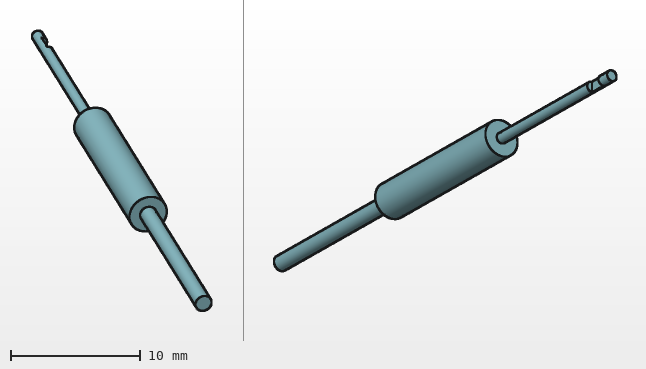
import cadquery as cq

total_length = 45.0
section_length = total_length / 3
pin_start = -total_length / 2
sleeve_start = pin_start + section_length
wire_start = sleeve_start + section_length

pin_diameter = 0.9
sleeve_diameter = 3.0
wire_diameter = 1.3

notch_offset = 1.15
notch_length = 1.55
notch_depth = 0.45


def make_rod(start, diameter):
    """Round rod along X, one section long, beginning at X = start."""
    return cq.Workplane("YZ", origin=(start, 0, 0)).circle(diameter / 2).extrude(section_length)


def make_notch_cutter():
    """Block reaching from the notch floor past the pin surface, through the full pin height."""
    floor_y = pin_diameter / 2 - notch_depth
    return (
        cq.Workplane("XY")
        .box(notch_length, pin_diameter, pin_diameter, centered=(False, False, True))
        .translate((pin_start + notch_offset, floor_y, 0))
    )


pin = make_rod(pin_start, pin_diameter).cut(make_notch_cutter())
sleeve = make_rod(sleeve_start, sleeve_diameter)
wire = make_rod(wire_start, wire_diameter)

result = cq.Compound.makeCompound([pin.val(), sleeve.val(), wire.val()])